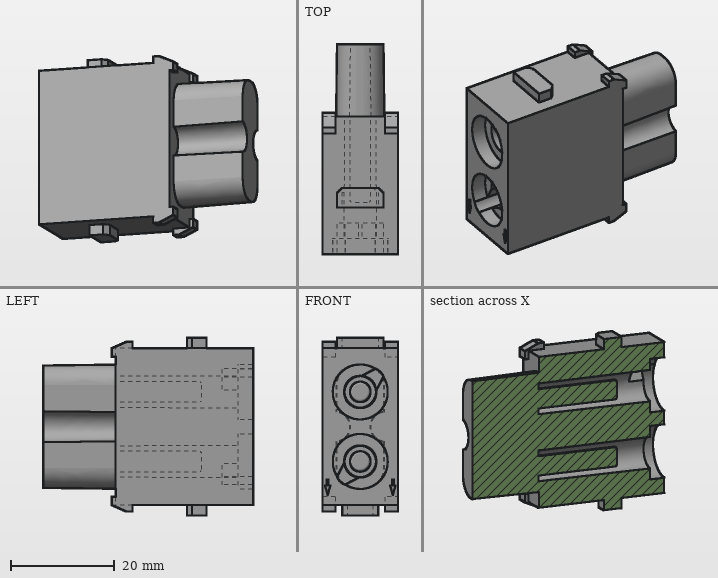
import cadquery as cq
import math

body_width = 14.6
body_depth = 26.6
body_height = 30.33
overall_depth = 40.6
overall_height = 34.4

key_height = (overall_height - body_height) / 2
upper_key_width = 9.05
lower_key_width = 7.02
key_front = 9.0
key_back = 12.83
key_chamfer = 1.0

latch_width = 2.55
latch_height = 1.25
latch_front = 23.3
latch_ramp_start = 24.52
latch_back = 27.35
latch_lip = 1.65

boss_width = 9.38
boss_height = 24.05
boss_corner_radius = 4.0
boss_draft_angle = 0.7
scoop_radius = 2.85
scoop_centre_x = 4.9

chamber_pitch = 13.45
mouth_radius = 5.3
mouth_depth = 3.0
bore_radius = 3.13
bore_end_radius = 3.05
bore_end = body_depth

keyway_angle = 45
keyway_inner_reach = 2.5
keyway_inner_half_width = 1.95
keyway_outer_reach = 5.25
keyway_outer_half_width = 1.1
keyway_tip_reach = 5.5
keyway_depth = 6.0

pin_radius = 2.0
pin_rounding = 0.53
pin_tip_depth = 10.0

arrow_offset = 6.3
arrow_tip_z = -13.2
arrow_head_length = 1.83
arrow_length = 3.0
arrow_head_width = 1.05
arrow_shaft_width = 0.35
arrow_depth = 0.1


def sketch(depth):
    """Workplane at a given depth, facing +Y: local x is -X and local y is Z."""
    return cq.Workplane(cq.Plane(origin=(0, depth, 0), xDir=(-1, 0, 0), normal=(0, 1, 0)))


def cylinder(z, radius, start, end):
    return sketch(start).center(0, z).circle(radius).extrude(end - start)


def make_body():
    return cq.Workplane("XY").box(body_width, body_depth, body_height, centered=(True, False, True))


def make_key(width, side):
    """Rectangular key with its two rear corners chamfered; side is +1 for up, -1 for down."""
    half = width / 2
    outline = [
        (-half, key_front),
        (half, key_front),
        (half, key_back - key_chamfer),
        (half - key_chamfer, key_back),
        (key_chamfer - half, key_back),
        (-half, key_back - key_chamfer),
    ]
    base = cq.Workplane("XY").workplane(offset=side * body_height / 2)
    return base.polyline(outline).close().extrude(side * key_height)


def make_latch(x_side, z_side):
    """Ramped catch at one rear corner, hooking a little past the rear face."""
    top = body_height / 2
    outline = [
        (latch_front, top - latch_lip),
        (latch_front, top + latch_height),
        (latch_ramp_start, top + latch_height),
        (latch_back, top),
        (latch_back, top - latch_lip),
    ]
    points = [(y, z_side * z) for y, z in outline]
    start_x = x_side * body_width / 2
    base = cq.Workplane("YZ").workplane(offset=start_x)
    return base.polyline(points).close().extrude(-x_side * latch_width)


def rounded_block(width, height, corner_radius):
    return cq.Sketch().rect(width, height).vertices().fillet(corner_radius)


def tapered_round(start, length, centre, start_radius, end_radius):
    """Round solid running towards +Y whose radius changes evenly along its length."""
    return (
        sketch(start)
        .center(*centre)
        .circle(start_radius)
        .workplane(offset=length)
        .circle(end_radius)
        .loft()
    )


def make_boss():
    """Rounded block narrowing to the rear, with drafted scoops along both flanks."""
    length = overall_depth - body_depth
    draft = length * math.tan(math.radians(boss_draft_angle))
    root = rounded_block(boss_width, boss_height, boss_corner_radius)
    tip = rounded_block(boss_width - 2 * draft, boss_height - 2 * draft, boss_corner_radius - draft)
    boss = sketch(body_depth).placeSketch(root, tip.moved(cq.Location((0, 0, length)))).loft()
    for side in (-1, 1):
        centre = (side * scoop_centre_x, 0)
        boss = boss.cut(tapered_round(body_depth, length, centre, scoop_radius, scoop_radius + draft))
    return boss


def make_chamber(z):
    """Space removed for one contact: wide mouth, then a slightly tapered bore."""
    mouth = cylinder(z, mouth_radius, 0, mouth_depth)
    bore = tapered_round(mouth_depth, bore_end - mouth_depth, (0, z), bore_radius, bore_end_radius)
    return mouth.union(bore)


def make_keyway(z, side):
    """Tapered slot with an arched tip, pointing to +X+Z (side 1) or -X-Z (side -1)."""
    slot = (
        cq.Workplane("XZ")
        .moveTo(0, -keyway_inner_half_width)
        .lineTo(keyway_inner_reach, -keyway_inner_half_width)
        .lineTo(keyway_outer_reach, -keyway_outer_half_width)
        .threePointArc((keyway_tip_reach, 0), (keyway_outer_reach, keyway_outer_half_width))
        .lineTo(keyway_inner_reach, keyway_inner_half_width)
        .lineTo(0, keyway_inner_half_width)
        .close()
        .extrude(-keyway_depth)
    )
    turn = -keyway_angle if side > 0 else 180 - keyway_angle
    return slot.rotate((0, 0, 0), (0, 1, 0), turn).translate((0, 0, z))


def make_pin(z):
    pin = cylinder(z, pin_radius, pin_tip_depth, bore_end)
    return pin.faces("<Y").edges().fillet(pin_rounding)


def make_arrow(x):
    """Downward arrow sunk into the front face."""
    head = arrow_head_width / 2
    shaft = arrow_shaft_width / 2
    shoulder_z = arrow_tip_z + arrow_head_length
    tail_z = arrow_tip_z + arrow_length
    outline = [
        (x, arrow_tip_z),
        (x + head, shoulder_z),
        (x + shaft, shoulder_z),
        (x + shaft, tail_z),
        (x - shaft, tail_z),
        (x - shaft, shoulder_z),
        (x - head, shoulder_z),
    ]
    return cq.Workplane("XZ").polyline(outline).close().extrude(-arrow_depth)


result = make_body().union(make_boss())
for side, width in ((1, upper_key_width), (-1, lower_key_width)):
    result = result.union(make_key(width, side))
for x_side in (-1, 1):
    for z_side in (-1, 1):
        result = result.union(make_latch(x_side, z_side))
for side in (-1, 1):
    chamber_z = side * chamber_pitch / 2
    result = result.cut(make_chamber(chamber_z))
    result = result.cut(make_keyway(chamber_z, side))
    result = result.union(make_pin(chamber_z))
for side in (-1, 1):
    result = result.cut(make_arrow(side * arrow_offset))